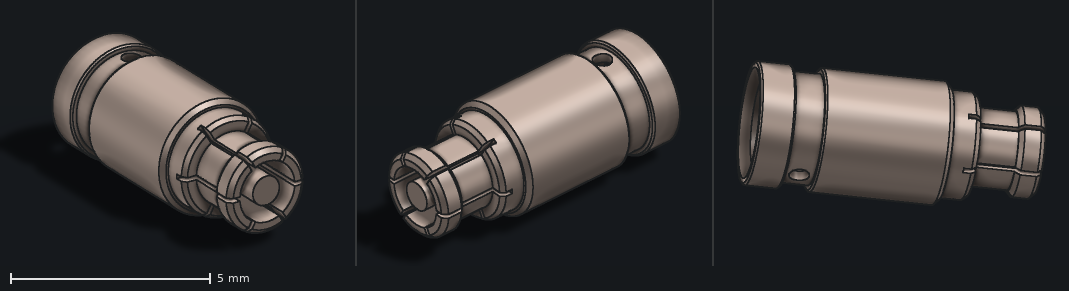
import cadquery as cq

total_length = 7.37

body_radius = 1.57
groove_radius = 1.41
collar_radius = 1.37
neck_radius = 1.0
head_radius = 1.16

groove_start = 0.90
groove_end = 1.65
body_end = 4.96
collar_end = 5.67
head_start = 6.69

small_chamfer = 0.05
large_chamfer = 0.13
collar_chamfer_drop = 0.10

bore_radius = 1.145
bore_mouth_radius = 1.40
bore_mouth_depth = bore_mouth_radius - bore_radius
bore_depth = 3.5

cross_hole_diameter = 0.51
cross_hole_x = (groove_start + groove_end) / 2

slot_count = 6
slot_width = 0.12
slot_start = 5.34
socket_radius = 0.83
pin_radius = 0.4
pin_recess = 0.055
pin_end = total_length - pin_recess


def cylinder(start, end, radius):
    """Plain cylinder along X between two stations."""
    return cq.Workplane("YZ", origin=(start, 0, 0)).circle(radius).extrude(end - start)


def drum(start, end, radius, start_chamfer, end_chamfer):
    """Solid cylinder along X between two stations, with chamfered rims."""
    solid = cylinder(start, end, radius)
    return solid.faces("<X").chamfer(start_chamfer).faces(">X").chamfer(end_chamfer)


def revolve_about_x(outline):
    """Solid of revolution from a closed outline of (x, radius) points."""
    return cq.Workplane("XY").polyline(outline).close().revolve(360, (0, 0, 0), (1, 0, 0))


def make_collar():
    """Collar ahead of the body, its front rim chamfered longer than it is deep."""
    outline = [
        (body_end, 0),
        (body_end, collar_radius),
        (collar_end - large_chamfer, collar_radius),
        (collar_end, collar_radius - collar_chamfer_drop),
        (collar_end, 0),
    ]
    return revolve_about_x(outline)


def make_outside():
    """Stepped outside: rear flange, groove, body, collar, neck and snap head."""
    flange = drum(0, groove_start, body_radius, small_chamfer, small_chamfer)
    body = drum(groove_end, body_end, body_radius, small_chamfer, large_chamfer)
    collar = make_collar()
    head = drum(head_start, total_length, head_radius, large_chamfer, large_chamfer)
    groove = cylinder(groove_start, groove_end, groove_radius)
    neck = cylinder(collar_end, head_start, neck_radius)
    return flange.union(groove).union(body).union(collar).union(neck).union(head)


def make_rear_bore():
    """Blind bore with a conical mouth, open at x = 0."""
    outline = [
        (0, 0),
        (0, bore_mouth_radius),
        (bore_mouth_depth, bore_radius),
        (bore_depth, bore_radius),
        (bore_depth, 0),
    ]
    return revolve_about_x(outline)


def make_cross_hole():
    """Hole along Z through both walls of the groove."""
    return (
        cq.Workplane("XY")
        .center(cross_hole_x, 0)
        .circle(cross_hole_diameter / 2)
        .extrude(body_radius, both=True)
    )


def make_socket():
    """Ring-shaped space between the fingers and the centre pin."""
    socket = cylinder(slot_start, total_length, socket_radius)
    return socket.cut(cylinder(slot_start, pin_end, pin_radius))


def make_slots():
    """Radial slots that divide the front end into fingers, clear of the pin."""
    slot_length = total_length - slot_start
    blade = cq.Workplane("XY", origin=(slot_start, 0, 0)).box(
        slot_length, body_radius, slot_width, centered=(False, False, True)
    )
    slots = blade
    for index in range(1, slot_count):
        slots = slots.union(blade.rotate((0, 0, 0), (1, 0, 0), index * 360 / slot_count))
    return slots.cut(cylinder(slot_start, pin_end, pin_radius))


result = (
    make_outside()
    .cut(make_rear_bore())
    .cut(make_cross_hole())
    .cut(make_socket())
    .cut(make_slots())
)